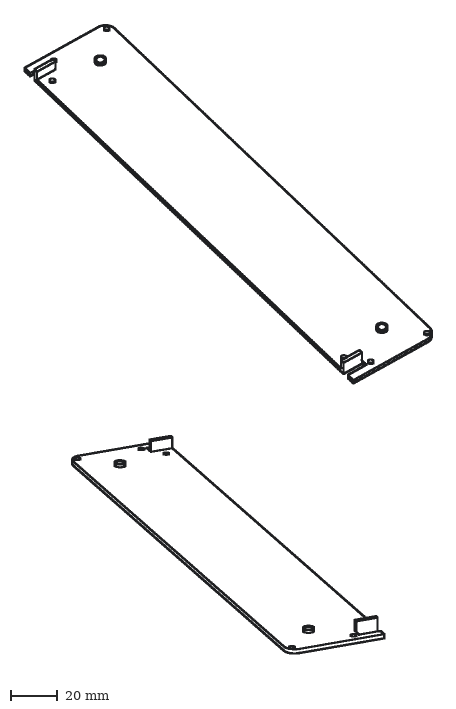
import cadquery as cq

length = 233.0
width = 45.0
thickness = 2.0
corner_radius = 5.0

total_height = 7.0
tab_length = 10.0
tab_thickness = 1.9
slot_width = 3.0
slot_inset = 4.0

hole_diameter = 2.5
rear_hole = (3.0, width - 2.8)
slot_hole = (4.2, 12.5)
front_hole = (13.3, 5.0)

boss_diameter = 5.0
boss_height = 1.25
recess_diameter = 3.7
recess_depth = 0.2
boss_inset = 16.8
boss_y = 28.2


def both_ends(inset, y):
    """Mirrored pair of points, at the given inset from each end."""
    x = length / 2 - inset
    return [(-x, y), (x, y)]


def block_pair(inset, size_x, height):
    """Blocks at both ends, as long as a tab, starting at the given inset."""
    centers = both_ends(inset + size_x / 2, tab_length / 2)
    return cq.Workplane("XY").pushPoints(centers).rect(size_x, tab_length).extrude(height)


def disc_pair(diameter, bottom, height):
    """Cylinders at the two boss positions."""
    plane = cq.Workplane("XY").workplane(offset=bottom)
    return plane.pushPoints(both_ends(boss_inset, boss_y)).circle(diameter / 2).extrude(height)


plate = cq.Workplane("XY").box(length, width, thickness, centered=(True, False, False))
plate = plate.edges("|Z and >Y").fillet(corner_radius)

plate = plate.cut(block_pair(slot_inset, slot_width, thickness))
plate = plate.union(block_pair(slot_inset + slot_width, tab_thickness, total_height))

hole_points = both_ends(*rear_hole) + both_ends(*slot_hole) + both_ends(*front_hole)
holes = cq.Workplane("XY").pushPoints(hole_points).circle(hole_diameter / 2).extrude(thickness)
plate = plate.cut(holes)

boss_top = thickness + boss_height
plate = plate.union(disc_pair(boss_diameter, thickness, boss_height))
result = plate.cut(disc_pair(recess_diameter, boss_top - recess_depth, recess_depth))